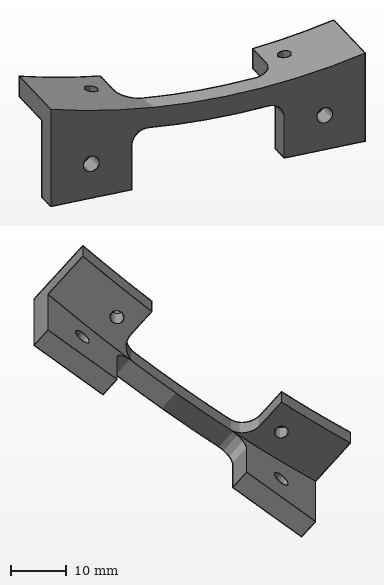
import cadquery as cq
import math

length = 61.9
width = 14.0
high_end = 19.8
low_end = 17.95
thickness = 4.0

sagitta = 3.8

opening_length = 29.95
shelf_corner_radius = 4.0
foot_corner_radius = 3.0

foot_hole_diameter = 3.1
foot_hole_offset = 22.95
foot_hole_height = 7.0
shelf_hole_diameter = 2.5
shelf_hole_offset = 19.0
shelf_hole_inset = 5.0

half_length = length / 2
half_opening = opening_length / 2
wall_inner_x = width - thickness
half_chord = math.hypot(length, high_end - low_end) / 2
top_radius = (half_chord**2 + sagitta**2) / (2 * sagitta)
chord_tilt = math.atan2(high_end - low_end, length)
centre_y = (top_radius - sagitta) * math.sin(chord_tilt)
centre_z = (high_end + low_end) / 2 + (top_radius - sagitta) * math.cos(chord_tilt)
under_radius = top_radius + thickness


def arc_point(radius, y):
    """Point at y on the lower side of a circle about the arc centre."""
    return y, centre_z - math.sqrt(radius**2 - (y - centre_y) ** 2)


def curved_shelf():
    """Band of constant thickness, cut square at both ends."""
    return (
        cq.Workplane("YZ")
        .moveTo(*arc_point(top_radius, -half_length))
        .threePointArc(arc_point(top_radius, 0), arc_point(top_radius, half_length))
        .lineTo(*arc_point(under_radius, half_length))
        .threePointArc(arc_point(under_radius, 0), arc_point(under_radius, -half_length))
        .close()
        .extrude(width)
    )


def shelf_opening():
    """Vertical cut with rounded corners where it meets the wall."""
    return (
        cq.Workplane("XY")
        .rect(2 * wall_inner_x, opening_length)
        .extrude(high_end)
        .edges("|Z and >X")
        .fillet(shelf_corner_radius)
    )


def feet():
    """Lower wall with an opening that is rounded under the shelf."""
    wall = (
        cq.Workplane("YZ", origin=(wall_inner_x, 0, 0))
        .moveTo(-half_length, 0)
        .lineTo(half_length, 0)
        .lineTo(*arc_point(under_radius, half_length))
        .threePointArc(arc_point(under_radius, 0), arc_point(under_radius, -half_length))
        .close()
        .extrude(thickness)
    )
    opening = (
        cq.Workplane("YZ", origin=(wall_inner_x, 0, 0))
        .moveTo(-half_opening, 0)
        .lineTo(half_opening, 0)
        .lineTo(*arc_point(under_radius, half_opening))
        .threePointArc(arc_point(under_radius, 0), arc_point(under_radius, -half_opening))
        .close()
        .extrude(thickness)
        .edges("|X and (not <Z)")
        .fillet(foot_corner_radius)
    )
    return wall.cut(opening)


def foot_holes():
    return (
        cq.Workplane("YZ")
        .pushPoints([(side * foot_hole_offset, foot_hole_height) for side in (-1, 1)])
        .circle(foot_hole_diameter / 2)
        .extrude(width)
    )


def shelf_holes():
    return (
        cq.Workplane("XY")
        .pushPoints([(shelf_hole_inset, side * shelf_hole_offset) for side in (-1, 1)])
        .circle(shelf_hole_diameter / 2)
        .extrude(high_end)
    )


shelf = curved_shelf().cut(shelf_opening()).cut(shelf_holes())
result = shelf.union(feet()).cut(foot_holes())